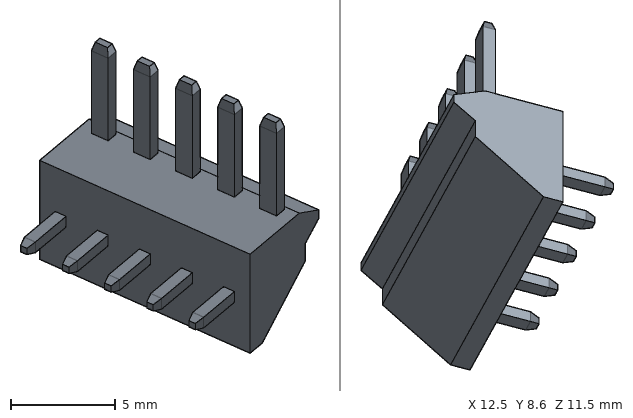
import cadquery as cq
import math


pin_count = 5
pitch = 2.5

housing_length = pin_count * pitch
housing_height = 6.0
foot_depth = 1.0
back_depth = 4.5
back_wall_bottom = 2.8
back_wall_top = 3.85
nose_depth = 5.6
nose_bottom = 4.7
nose_top = 5.2
top_depth = 4.0

pin_thickness = 0.65
mating_pin_width = 1.0
mating_pin_length = 5.5
mating_pin_y = 3.5
solder_pin_length = 3.0
solder_pin_z = 3.0
tip_length = 0.5
tip_taper_angle = 15.0
tip_inset = tip_length * math.tan(math.radians(tip_taper_angle))


def make_housing():
    profile = [
        (0, 0),
        (foot_depth, 0),
        (back_depth, back_wall_bottom),
        (back_depth, back_wall_top),
        (nose_depth, nose_bottom),
        (nose_depth, nose_top),
        (top_depth, housing_height),
        (0, housing_height),
    ]
    return (
        cq.Workplane("YZ")
        .polyline(profile)
        .close()
        .extrude(housing_length / 2, both=True)
    )


def make_pin(base_plane, width, thickness, length):
    """Rectangular pin rising from base_plane and ending in a tapered tip."""
    shank_length = length - tip_length
    shank = cq.Workplane(base_plane).rect(width, thickness).extrude(shank_length)
    tip = (
        cq.Workplane(base_plane)
        .workplane(offset=shank_length)
        .rect(width, thickness)
        .workplane(offset=tip_length)
        .rect(width - 2 * tip_inset, thickness - 2 * tip_inset)
        .loft(combine=True)
    )
    return shank.union(tip)


def make_mating_pin(x):
    base_plane = cq.Plane(
        origin=(x, mating_pin_y, housing_height), xDir=(1, 0, 0), normal=(0, 0, 1)
    )
    return make_pin(base_plane, mating_pin_width, pin_thickness, mating_pin_length)


def make_solder_pin(x):
    base_plane = cq.Plane(
        origin=(x, 0, solder_pin_z), xDir=(1, 0, 0), normal=(0, -1, 0)
    )
    return make_pin(base_plane, pin_thickness, pin_thickness, solder_pin_length)


result = make_housing()
for index in range(pin_count):
    pin_x = (index - (pin_count - 1) / 2) * pitch
    result = result.union(make_mating_pin(pin_x))
    result = result.union(make_solder_pin(pin_x))